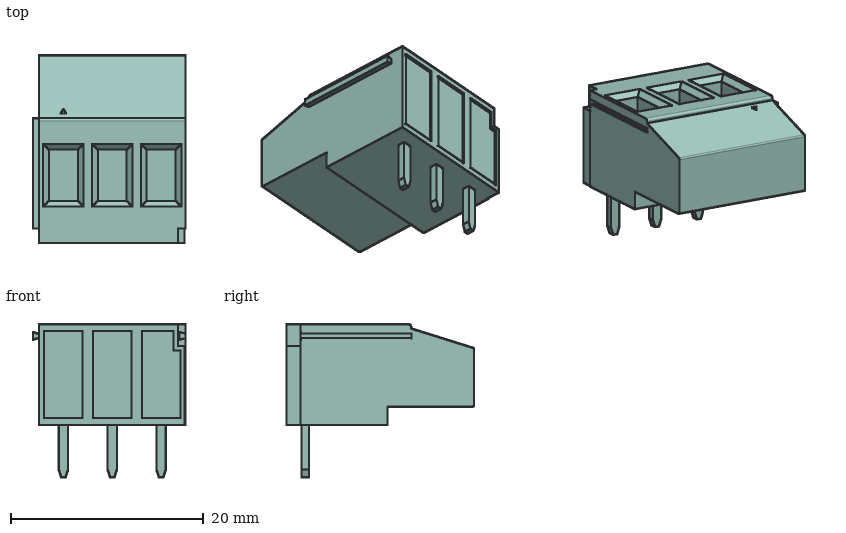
import cadquery as cq

POLES = 3
PITCH = 5.07
WIDTH = POLES * PITCH
DEPTH = 19.5
HEIGHT = 10.5

STEP_Y = 10.51
STEP_Z = 1.91
LEDGE_Y = 12.97
SLOPE_TOP_Z = 10.05
SLOPE_BOTTOM_Z = 8.0
ROOF_RADIUS = 0.3
REAR_RADIUS = 0.2

PLATE_DEPTH = 1.5
PLATE_SIDE_GAP = 0.1
NOTCH_WIDTH = 0.7
NOTCH_HEIGHT = 2.3

PANEL_WIDTH = 4.0
PANEL_MARGIN_Z = 0.75
PANEL_RECESS = 0.2
PANEL_NOTCH_WIDTH = 0.75
PANEL_NOTCH_HEIGHT = 2.0

WELL_WIDTH = 3.0
WELL_LENGTH = 5.3
WELL_CENTRE_Y = 7.04
WELL_DEPTH = HEIGHT / 2
WELL_CHAMFER = 0.6

DOVETAIL_REACH = 0.62
DOVETAIL_WIDE = 0.8
DOVETAIL_NARROW = 0.47
DOVETAIL_Z = 9.26

PIN_WIDTH = 1.0
PIN_THICKNESS = 0.8
PIN_LENGTH = 5.4
PIN_TIP_LENGTH = 0.8
PIN_TIP_WIDTH = 0.47
PIN_FRONT_Y = 1.58

MARK_WIDTH = 0.57
MARK_LENGTH = 0.47
MARK_FRONT_Y = 13.45
MARK_ENGRAVING = 0.1

pole_centres = [(pole + 0.5) * PITCH for pole in range(POLES)]


def box(x, y, z, x_size, y_size, z_size):
    """Box with its lowest corner at (x, y, z)."""
    return cq.Workplane("XY").box(x_size, y_size, z_size, centered=False).translate((x, y, z))


def extrude_back(points, y_start, y_end):
    """Solid with an XZ outline, running from y_start back to y_end."""
    return (
        cq.Workplane("XZ", origin=(0, y_start, 0))
        .polyline(points)
        .close()
        .extrude(y_start - y_end)
    )


def make_housing():
    profile = [
        (PLATE_DEPTH, 0),
        (STEP_Y, 0),
        (STEP_Y, STEP_Z),
        (DEPTH, STEP_Z),
        (DEPTH, SLOPE_BOTTOM_Z),
        (LEDGE_Y, SLOPE_TOP_Z),
        (LEDGE_Y, HEIGHT),
        (PLATE_DEPTH, HEIGHT),
    ]
    housing = cq.Workplane("YZ").polyline(profile).close().extrude(WIDTH)
    housing = housing.faces(">Y").edges("|X").fillet(REAR_RADIUS)
    return housing.faces(">Z").edges(">Y").fillet(ROOF_RADIUS)


def make_front_plate():
    plate_width = WIDTH - PLATE_SIDE_GAP
    plate = box(0, 0, 0, plate_width, PLATE_DEPTH, HEIGHT)
    notch = box(
        plate_width - NOTCH_WIDTH, 0, HEIGHT - NOTCH_HEIGHT,
        NOTCH_WIDTH, PLATE_DEPTH, NOTCH_HEIGHT,
    )
    for pole_x in pole_centres:
        plate = plate.cut(make_panel(pole_x))
    return plate.union(make_panel_corner()).cut(notch)


def make_panel(centre_x):
    return box(
        centre_x - PANEL_WIDTH / 2, 0, PANEL_MARGIN_Z,
        PANEL_WIDTH, PANEL_RECESS, HEIGHT - 2 * PANEL_MARGIN_Z,
    )


def make_panel_corner():
    """Corner left standing in the last panel, next to the notch of the plate."""
    right = pole_centres[-1] + PANEL_WIDTH / 2
    top = HEIGHT - PANEL_MARGIN_Z
    return box(
        right - PANEL_NOTCH_WIDTH, 0, top - PANEL_NOTCH_HEIGHT,
        PANEL_NOTCH_WIDTH, PANEL_RECESS, PANEL_NOTCH_HEIGHT,
    )


def make_well(centre_x):
    shaft = (
        cq.Workplane("XY", origin=(centre_x, WELL_CENTRE_Y, HEIGHT))
        .rect(WELL_WIDTH, WELL_LENGTH)
        .extrude(-WELL_DEPTH)
    )
    mouth = (
        cq.Workplane("XY", origin=(centre_x, WELL_CENTRE_Y, HEIGHT))
        .rect(WELL_WIDTH + 2 * WELL_CHAMFER, WELL_LENGTH + 2 * WELL_CHAMFER)
        .workplane(offset=-WELL_CHAMFER)
        .rect(WELL_WIDTH, WELL_LENGTH)
        .loft(ruled=True)
    )
    return shaft.union(mouth)


def make_dovetail(root_x):
    """Dovetail bar whose wide side lies to the left of its root."""
    wide_x = root_x - DOVETAIL_REACH
    outline = [
        (root_x, DOVETAIL_Z - DOVETAIL_NARROW / 2),
        (root_x, DOVETAIL_Z + DOVETAIL_NARROW / 2),
        (wide_x, DOVETAIL_Z + DOVETAIL_WIDE / 2),
        (wide_x, DOVETAIL_Z - DOVETAIL_WIDE / 2),
    ]
    return extrude_back(outline, PLATE_DEPTH, LEDGE_Y)


def make_pin(centre_x):
    shoulder_z = PIN_TIP_LENGTH - PIN_LENGTH
    outline = [
        (centre_x - PIN_WIDTH / 2, 0),
        (centre_x - PIN_WIDTH / 2, shoulder_z),
        (centre_x - PIN_TIP_WIDTH / 2, -PIN_LENGTH),
        (centre_x + PIN_TIP_WIDTH / 2, -PIN_LENGTH),
        (centre_x + PIN_WIDTH / 2, shoulder_z),
        (centre_x + PIN_WIDTH / 2, 0),
    ]
    return extrude_back(outline, PIN_FRONT_Y, PIN_FRONT_Y + PIN_THICKNESS)


def make_mark(housing):
    """Triangular prism reaching down to a plane parallel to the sloping roof."""
    centre_x = pole_centres[0]
    prism = (
        cq.Workplane("XY")
        .moveTo(centre_x - MARK_WIDTH / 2, MARK_FRONT_Y)
        .lineTo(centre_x + MARK_WIDTH / 2, MARK_FRONT_Y)
        .lineTo(centre_x, MARK_FRONT_Y + MARK_LENGTH)
        .close()
        .extrude(HEIGHT)
    )
    return prism.cut(housing.translate((0, 0, -MARK_ENGRAVING)))


housing = make_housing()
result = housing.cut(make_mark(housing))
result = result.union(make_front_plate()).union(make_dovetail(0))
result = result.cut(make_dovetail(WIDTH))
for pole_x in pole_centres:
    result = result.cut(make_well(pole_x)).union(make_pin(pole_x))